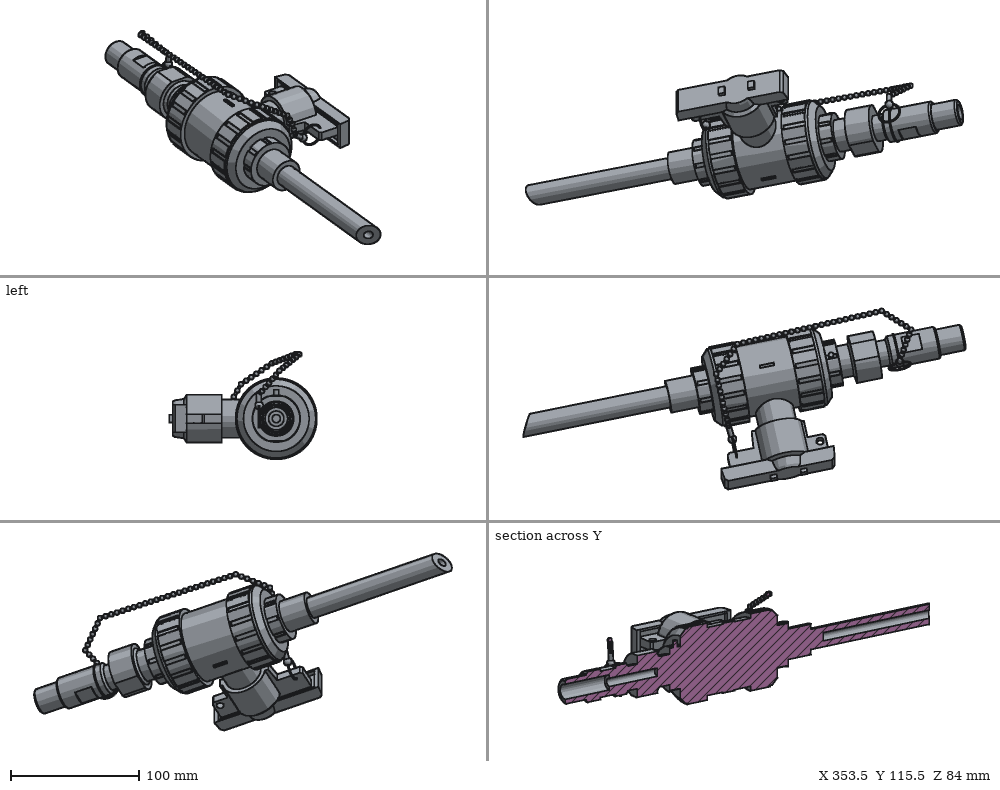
import cadquery as cq

total_length = 353.5
valve_x = 157.0
body_dia = 56.2
nut_dia = 63.5
nut_base_dia = 61.5
nut_face_dia = 51.3
nut_length = 26.0
nut_bevel_length = 5.0
nut_rib_start = 7.0
valve_half_length = 46.7
collar_dia = 36.8
collar_length = 10.3
sleeve_dia = 25.5
rod_dia = 17.0
rod_slant = 9.2

nut_left = valve_x - valve_half_length
collar_left = nut_left - collar_length
socket_left = valve_x + valve_half_length + collar_length
socket_right = 236.0

tip_dia = 20.5
tip_length = 20.5
tip_bevel = 1.5
sleeve_right = 60.8
sleeve_bevel = 1.8
coupling_left = 69.0
coupling_right = 88.8
coupling_dia = 37.5
coupling_flats = 34.5
shoulder_dia = 30.5
shoulder_length = 1.8

wrench_left = 34.3
wrench_length = 14.0
wrench_height = 11.0

inlet_bore_dia = 12.0
inlet_bore_depth = 42.5
narrow_bore_dia = 6.5
inlet_narrow_end = 88.5
outlet_bore_start = 247.5

stem_dia = 30.0
hub_dia = 37.5
hub_bottom = 42.5
bar_bottom = 70.0
bar_top = 81.0
handle_top = 83.8
bar_left = 118.5
bar_right = 208.5
bar_width = 21.5
hollow_depth = 3.5
wing_thickness = 7.0
wing_left = 122.7
wing_right = 201.0
wing_bottom = 56.2
tag_hole_dia = 5.5
tag_hole = (127.5, 61.5)
wire_hole = (194.0, 61.5)

bead_dia = 4.0
bead_gap = 0.9
bead_pitch = bead_dia + bead_gap
link_dia = 2.0
swivel_dia = 6.5
wire_dia = 1.0


def rod_between(start, end, diameter):
    """Round bar from one point to another."""
    axis = cq.Vector(*end) - cq.Vector(*start)
    return cq.Solid.makeCylinder(diameter / 2, axis.Length, cq.Vector(*start), axis)


def ball(center, diameter):
    return cq.Workplane("XY").sphere(diameter / 2).translate(center).val()


def cylinder_x(x_start, x_end, diameter):
    return cq.Workplane(rod_between((x_start, 0, 0), (x_end, 0, 0), diameter))


def box_between(x_range, y_range, z_range):
    size = [high - low for low, high in (x_range, y_range, z_range)]
    corner = (x_range[0], y_range[0], z_range[0])
    return cq.Workplane("XY").box(*size, centered=False).translate(corner)


def revolve_x(profile):
    """Solid of revolution about X from (x, diameter) stations."""
    points = [(profile[0][0], 0)]
    points += [(x, diameter / 2) for x, diameter in profile]
    points += [(profile[-1][0], 0)]
    return cq.Workplane("XY").polyline(points).close().revolve(360, (0, 0, 0), (1, 0, 0))


def left_fitting():
    """Threaded tip, sleeve with wrench flats and flatted coupling."""
    fitting = revolve_x([
        (0, tip_dia - 2 * tip_bevel),
        (tip_bevel, tip_dia),
        (tip_length, tip_dia),
        (tip_length, sleeve_dia - 2 * tip_bevel),
        (tip_length + tip_bevel, sleeve_dia),
        (sleeve_right - sleeve_bevel, sleeve_dia),
        (sleeve_right, tip_dia),
        (coupling_left, tip_dia),
        (coupling_left, coupling_dia),
        (coupling_right, coupling_dia),
        (coupling_right, shoulder_dia),
        (coupling_right + shoulder_length, sleeve_dia),
        (collar_left, sleeve_dia),
    ])
    wrench_range = (wrench_left, wrench_left + wrench_length)
    coupling_range = (coupling_left, coupling_right)
    for x_range, height in ((wrench_range, wrench_height), (coupling_range, coupling_flats / 2)):
        for z_range in ((height, coupling_dia), (-coupling_dia, -height)):
            fitting = fitting.cut(box_between(x_range, (-coupling_dia, coupling_dia), z_range))
    return fitting


def union_half():
    """Left collar and union nut; the right half is its mirror image."""
    groove_count = 16
    groove_width = 3.5
    groove_end_wall = 1.5
    groove_start = nut_left + nut_rib_start
    groove_end = nut_left + nut_length - groove_end_wall
    keyway_count = 8
    keyway_width = 3.2
    keyway_depth = 0.9
    keyway_wall = 1.5
    keyway_start = collar_left + keyway_wall

    half = revolve_x([
        (collar_left, collar_dia),
        (nut_left, collar_dia),
        (nut_left, nut_face_dia),
        (nut_left + nut_bevel_length, nut_base_dia),
        (nut_left + nut_rib_start, nut_base_dia),
        (nut_left + nut_rib_start, nut_dia),
        (nut_left + nut_length, nut_dia),
        (nut_left + nut_length, body_dia),
        (valve_x, body_dia),
    ])
    nut_groove = box_between(
        (groove_start, groove_end),
        (-groove_width / 2, groove_width / 2),
        (nut_base_dia / 2, nut_dia),
    )
    for i in range(groove_count):
        half = half.cut(nut_groove.rotate((0, 0, 0), (1, 0, 0), (i + 0.5) * 360 / groove_count))
    keyway = box_between(
        (keyway_start, nut_left),
        (-keyway_width / 2, keyway_width / 2),
        (collar_dia / 2 - keyway_depth, collar_dia),
    )
    for i in range(keyway_count):
        half = half.cut(keyway.rotate((0, 0, 0), (1, 0, 0), i * 360 / keyway_count))
    return half


def valve_body():
    mark_length = 11.3
    mark_width = 2.0
    mark_height = 0.7
    pin_dia = 4.0
    pin_top = 22.5
    pin_to_nut = 4.5

    half = union_half()
    body = half.union(half.mirror("YZ", (valve_x, 0, 0)))
    mark_reach = body_dia / 2 + mark_height
    marks = cq.Workplane("XY").box(mark_length, mark_width, 2 * mark_reach)
    pin_x = nut_left - pin_to_nut
    pin = rod_between((pin_x, 0, 0), (pin_x, 0, pin_top), pin_dia)
    return body.union(marks.translate((valve_x, 0, 0))).union(cq.Workplane(pin))


def outlet_rod():
    """Socket and rod whose tip is cut to a slanted point on the +Y side."""
    radius = rod_dia / 2
    rod = cylinder_x(socket_right, total_length, rod_dia)
    waste = (
        cq.Workplane("XY")
        .polyline([
            (total_length - rod_slant, -radius),
            (total_length, radius),
            (total_length, -radius),
        ])
        .close()
        .extrude(radius, both=True)
    )
    return cylinder_x(socket_left, socket_right, sleeve_dia).union(rod.cut(waste))


def handle_core():
    """Stem, hub and the tapered cap that crosses the handle bar."""
    cap_base_dia = 31.0
    cap_base_height = 2.0
    cap_dia = 29.0
    cap_edge_dia = 27.0
    cap_edge_height = 2.0
    profile = [
        (0, stem_dia),
        (hub_bottom, stem_dia),
        (hub_bottom, hub_dia),
        (bar_bottom, hub_dia),
        (bar_bottom + cap_base_height, cap_base_dia),
        (bar_top - cap_edge_height, cap_dia),
        (bar_top, cap_edge_dia),
    ]
    points = [(valve_x, 0)]
    points += [(valve_x + diameter / 2, y) for y, diameter in profile]
    points += [(valve_x, bar_top)]
    return (
        cq.Workplane("XY").polyline(points).close().revolve(360, (valve_x, 0, 0), (valve_x, 1, 0))
    )


def handle_bar():
    """Bar with a shallow hollow underside and two stop lugs on its top face."""
    end_draft = 1.5
    corner = 2.0
    rim = 1.8
    lug_length = 5.0
    lug_width = 6.5
    lug_offset = 12.0

    bar = (
        cq.Workplane("XY")
        .polyline([
            (bar_left, bar_bottom),
            (bar_left + end_draft, bar_top),
            (bar_right - end_draft, bar_top),
            (bar_right, bar_bottom),
        ])
        .close()
        .extrude(bar_width / 2, both=True)
        .faces(">Y").edges("|Z").chamfer(corner)
    )
    inner_width = bar_width / 2 - rim
    hollow = box_between(
        (bar_left + 2 * rim, bar_right - 2 * rim),
        (bar_bottom, bar_bottom + hollow_depth),
        (-inner_width, inner_width),
    )
    bar = bar.cut(hollow)
    for side in (-1, 1):
        lug_x = valve_x + side * lug_offset
        lug = box_between(
            (lug_x - lug_length / 2, lug_x + lug_length / 2),
            (bar_bottom + hollow_depth, handle_top),
            (-lug_width / 2, lug_width / 2),
        )
        bar = bar.union(lug)
    return bar


def handle_wing():
    """Flat plate under the bar, stepped down along the hub."""
    step_left = 136.5
    step_right = 179.5
    step_draft = 1.5
    corner = 1.8
    plate_top = bar_bottom + hollow_depth
    plate = (
        cq.Workplane("XY")
        .polyline([
            (wing_left, plate_top),
            (wing_left, wing_bottom + corner),
            (wing_left + corner, wing_bottom),
            (step_left, wing_bottom),
            (step_left, hub_bottom),
            (step_right - step_draft, hub_bottom),
            (step_right, wing_bottom),
            (wing_right - corner, wing_bottom),
            (wing_right, wing_bottom + corner),
            (wing_right, plate_top),
        ])
        .close()
        .extrude(wing_thickness / 2, both=True)
    )
    hole = cq.Workplane("XY").center(*tag_hole).circle(tag_hole_dia / 2)
    return plate.cut(hole.extrude(wing_thickness, both=True))


def bead_string(path):
    """Thin wire along a path of points, with beads spaced evenly on every leg."""
    pieces = []
    for start, end in zip(path, path[1:]):
        leg = cq.Vector(*end) - cq.Vector(*start)
        steps = round(leg.Length / bead_pitch)
        pieces.append(rod_between(start, end, link_dia))
        for i in range(steps):
            center = cq.Vector(*start) + leg * (i / steps)
            pieces.append(ball(center.toTuple(), bead_dia))
    return pieces


def wire_ring(center, radius, axis):
    return cq.Solid.makeTorus(radius, wire_dia / 2, cq.Vector(*center), cq.Vector(*axis))


def chain():
    """Bead chain from the sleeve to the handle wing, with a wire ring at each end."""
    clip_x = 53.8
    clip_sink = 0.18
    tie_start = (clip_x, 8.5, 6.5)
    clip_radius = (sleeve_dia + wire_dia) / 2 - clip_sink
    ring_radius = 8.5
    sleeve_swivel = (clip_x, 13.5, 10.3)
    sleeve_barrel_end = (clip_x, 13.8, 18.5)
    wing_swivel = (wire_hole[0], wire_hole[1] - 2 * ring_radius, 0)
    wing_barrel_end = (195.2, 36.5, 5.5)
    path = [
        sleeve_barrel_end,
        (41.5, -2.5, 37.5),
        (61.5, -18.0, 50.2),
        (177.5, -15.0, 50.2),
        (198.5, 3.5, 43.0),
        (197.0, 27.5, 27.0),
        (196.0, 33.2, 17.0),
        wing_barrel_end,
    ]

    pieces = bead_string(path)
    ends = ((sleeve_swivel, sleeve_barrel_end), (wing_swivel, wing_barrel_end))
    for swivel, barrel_end in ends:
        pieces.append(ball(swivel, swivel_dia))
        pieces.append(rod_between(swivel, barrel_end, bead_dia))

    pieces.append(wire_ring((clip_x, 0, 0), clip_radius, (1, 0, 0)))
    pieces.append(rod_between(tie_start, sleeve_swivel, wire_dia))

    swivel_x, swivel_y, swivel_z = sleeve_swivel
    pieces.append(wire_ring((swivel_x, swivel_y, swivel_z - ring_radius), ring_radius, (0, 1, 0)))
    pieces.append(wire_ring((wire_hole[0], wire_hole[1] - ring_radius, 0), ring_radius, (1, 0, 0)))
    return pieces


def bores():
    inlet = cylinder_x(0, inlet_bore_depth, inlet_bore_dia)
    narrow = cylinder_x(inlet_bore_depth, inlet_narrow_end, narrow_bore_dia)
    outlet = cylinder_x(outlet_bore_start, total_length, narrow_bore_dia)
    return inlet.union(narrow).union(outlet)


valve = (
    valve_body()
    .union(left_fitting())
    .union(outlet_rod())
    .union(handle_core())
    .union(handle_bar())
    .union(handle_wing())
    .cut(bores())
)
result = cq.Workplane(valve.val().fuse(*chain()))